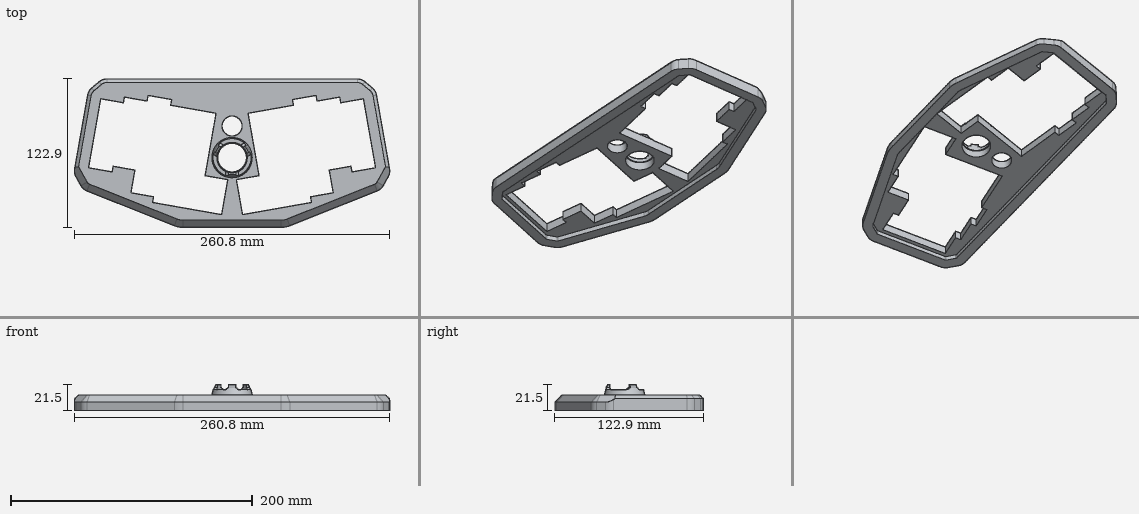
import cadquery as cq
import math

plate_height = 13
total_height = 21.47
overall_depth = 122.87
top_edge_y = 65.1
bottom_edge_y = top_edge_y - overall_depth

tilt_angle = 10.0
top_half_width = 117.16
side_drop = 87.7
bottom_half_width = 44.2
corner_cut = 10.0
corner_radius = 10.0
bottom_radius = 20.0
narrow_chamfer = 3.0
wide_chamfer = 6.0

skin_thickness = 8.5
rim_width = 8.4

key_pitch = 19.05
key_stagger = 0.25
key_clearance = 0.3
grid_corner_x = 108.3
grid_corner_drop = 16.9

cable_hole_diameter = 16.4
cable_hole_y = 26.1
bore_radius = 11.8

ring_inner_radius = 12.6
ring_base_radius = 16.7
ring_skirt_height = 0.5
ring_height = 4.3
ring_taper = 0.25
tooth_height = total_height - plate_height
tooth_bevel_height = 2.0
tooth_bevel_depth = 1.1
tooth_width = 6.1
tooth_foot_width = 11.0
tooth_flare_height = 6.3
tooth_angles = (0, 120, 240)

side_half_width = top_half_width + side_drop * math.tan(math.radians(tilt_angle))
top_corner = (top_half_width, top_edge_y)
side_corner = (side_half_width, top_edge_y - side_drop)
bottom_corner = (bottom_half_width, bottom_edge_y)


def toward(start, target, distance):
    """Point at a distance from start along the line to target (negative goes backwards)."""
    length = math.dist(start, target)
    return tuple(s + (t - s) * distance / length for s, t in zip(start, target))


def mirrored_x(points):
    """The points reflected in X = 0, in reverse order."""
    return [(-x, y) for x, y in reversed(points)]


def symmetric_prism(right_half, height):
    return cq.Workplane("XY").polyline(right_half + mirrored_x(right_half)).close().extrude(height)


def round_corner(body, corner, radius):
    """Fillet the vertical edges at a corner and at its mirror image."""
    reach = 0.01
    for side in (1, -1):
        x, y = side * corner[0], corner[1]
        lower = (x - reach, y - reach, -reach)
        upper = (x + reach, y + reach, plate_height + reach)
        body = body.edges(cq.selectors.BoxSelector(lower, upper, boundingbox=True)).fillet(radius)
    return body


top_cut_start = toward(top_corner, (0, top_edge_y), corner_cut)
top_cut_end = toward(top_corner, side_corner, corner_cut)
side_cut_start = toward(side_corner, top_corner, corner_cut)
side_cut_end = toward(side_corner, bottom_corner, corner_cut)


def plate_blank():
    """Full outline with rounded corners and square top edges."""
    corners = [top_cut_start, top_cut_end, side_cut_start, side_cut_end]
    body = symmetric_prism(corners + [bottom_corner], plate_height)
    for corner in corners:
        body = round_corner(body, corner, corner_radius)
    return round_corner(body, bottom_corner, bottom_radius)


def front_bevel_envelope():
    """Oversize block whose front edges carry the wide chamfer."""
    extension = overall_depth
    far_point = toward(side_cut_start, side_cut_end, -extension)
    body = symmetric_prism([far_point, side_cut_end, bottom_corner], plate_height)
    body = round_corner(body, side_cut_end, corner_radius)
    body = round_corner(body, bottom_corner, bottom_radius)
    return body.faces(">Z").chamfer(wide_chamfer)


def key_opening():
    """Stepped cutter for the right-hand key grid, written in key pitches from its upper outer corner."""
    grid = [
        (0, 0), (1, 0), (1, key_stagger), (2, key_stagger), (2, 2 * key_stagger), (3, 2 * key_stagger),
        (3, key_stagger), (5, key_stagger), (5, -2.5), (6, -2.5), (6, -4), (3, -4),
        (3, key_stagger - 4), (2, key_stagger - 4), (2, key_stagger - 3), (1, key_stagger - 3),
        (1, -3), (0, -3),
    ]
    outline = cq.Workplane("XY").polyline([(-u * key_pitch, v * key_pitch) for u, v in grid]).close()
    cutter = outline.offset2D(key_clearance, "intersection").extrude(plate_height)
    cutter = cutter.rotate((0, 0, 0), (0, 0, 1), tilt_angle)
    return cutter.translate((grid_corner_x, top_edge_y - grid_corner_drop, 0))


def underside_recess():
    """Inset copy of the outline, open at the bottom."""
    outer_wire = plate_blank().faces("<Z").wires().val()
    inset = cq.Workplane("XY").add(outer_wire).toPending().offset2D(-rim_width)
    return inset.extrude(plate_height - skin_thickness)


def lock_tooth():
    """Tooth silhouette with flared foot, as a block reaching out along -Y."""
    half, half_foot = tooth_width / 2, tooth_foot_width / 2
    silhouette = [
        (-half_foot, 0), (-half_foot, ring_height), (-half, tooth_flare_height), (-half, tooth_height),
        (half, tooth_height), (half, tooth_flare_height), (half_foot, ring_height), (half_foot, 0),
    ]
    return cq.Workplane("XZ").polyline(silhouette).close().extrude(ring_base_radius)


def lock_ring():
    """Tapered ring with three teeth standing on it."""
    shoulder_height = tooth_height - tooth_bevel_height
    shoulder_radius = ring_base_radius - ring_taper * (shoulder_height - ring_skirt_height)
    profile = [
        (ring_inner_radius, 0), (ring_base_radius, 0), (ring_base_radius, ring_skirt_height),
        (shoulder_radius, shoulder_height), (shoulder_radius - tooth_bevel_depth, tooth_height),
        (ring_inner_radius, tooth_height),
    ]
    crown = cq.Workplane("XZ").polyline(profile).close().revolve(360, (0, 0, 0), (0, 1, 0))
    kept_zone = cq.Workplane("XY").circle(2 * ring_base_radius).extrude(ring_height)
    for angle in tooth_angles:
        kept_zone = kept_zone.union(lock_tooth().rotate((0, 0, 0), (0, 0, 1), angle))
    return crown.intersect(kept_zone).translate((0, 0, plate_height))


def round_hole(radius, y):
    """Through cutter for a hole on the symmetry plane."""
    return cq.Workplane("XY").center(0, y).circle(radius).extrude(plate_height)


plate = plate_blank().faces(">Z").chamfer(narrow_chamfer).intersect(front_bevel_envelope())
plate = plate.cut(underside_recess())
right_opening = key_opening()
plate = plate.cut(right_opening).cut(right_opening.mirror("YZ"))
plate = plate.cut(round_hole(cable_hole_diameter / 2, cable_hole_y)).cut(round_hole(bore_radius, 0))
result = plate.union(lock_ring())